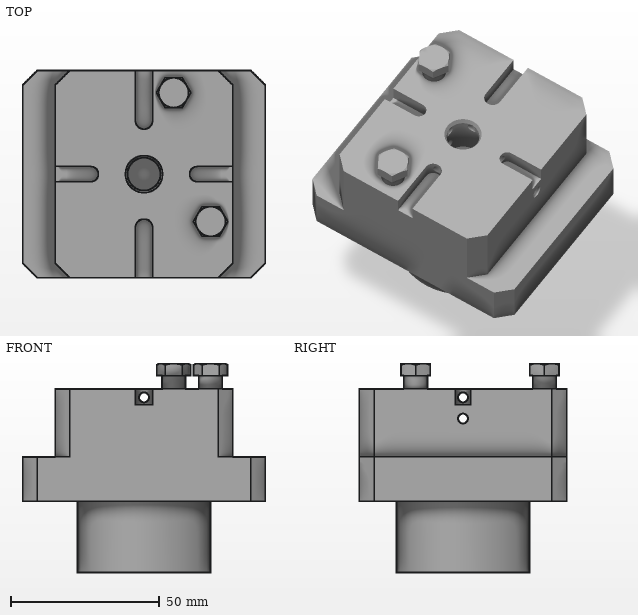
import cadquery as cq
import math

base_length = 82.0
block_length = 60.0
depth = 70.0
block_height = 23.0
base_height = 15.0
corner_chamfer = 5.0

spigot_diameter = 45.0
spigot_length = 24.0

bore_diameter = 11.1
bore_depth = 15.0
mouth_chamfer_width = 0.7
mouth_chamfer_depth = 1.3

slot_depth = 5.4
slot_width_x = 5.2
slot_width_y = 5.8
slot_end_x = 15.4
slot_end_y = 15.2

cross_diameter = 3.3
upper_hole_depth = 2.9
lower_hole_depth = 10.0
counterbore_diameter = 4.2
counterbore_length = 5.0

bolt_positions = [(10.0, 27.5), (22.5, -16.0)]
shank_diameter = 8.0
shank_length = 4.5
head_height = 4.0
head_across_flats = 10.0
head_sides = 6
head_chamfer_angle = 30


def chamfered_slab(length, height, top_z):
    """Rectangular slab with its four vertical corners chamfered."""
    slab = cq.Workplane("XY").workplane(offset=top_z - height).rect(length, depth).extrude(height)
    return slab.edges("|Z").chamfer(corner_chamfer)


def rounded_slot(angle, width, inner_end, outer_end):
    """Slot with a round inner end, running radially outward at the given angle."""
    radius = width / 2
    straight_start = inner_end + radius
    outline = (
        cq.Workplane("XY")
        .moveTo(outer_end, -radius)
        .lineTo(straight_start, -radius)
        .threePointArc((inner_end, 0), (straight_start, radius))
        .lineTo(outer_end, radius)
        .close()
    )
    return outline.extrude(-slot_depth).rotate((0, 0, 0), (0, 0, 1), angle)


def through_hole(plane, length, hole_depth):
    """Cross hole centred on the bore axis, below the top face by hole_depth."""
    cylinder = cq.Workplane(plane).circle(cross_diameter / 2).extrude(length / 2, both=True)
    return cylinder.translate((0, 0, -hole_depth))


def bolt(x, y):
    """Shank and hexagonal head whose top corners are turned to a cone."""
    corner_diameter = head_across_flats / math.cos(math.pi / head_sides)
    corner_height = (corner_diameter - head_across_flats) / 2 * math.tan(math.radians(head_chamfer_angle))
    top_z = shank_length + head_height
    shank = cq.Workplane("XY").circle(shank_diameter / 2).extrude(shank_length)
    head = (
        cq.Workplane("XY")
        .workplane(offset=shank_length)
        .polygon(head_sides, corner_diameter)
        .extrude(head_height)
    )
    turned_envelope = (
        cq.Workplane("XZ")
        .moveTo(0, shank_length)
        .lineTo(corner_diameter / 2, shank_length)
        .lineTo(corner_diameter / 2, top_z - corner_height)
        .lineTo(head_across_flats / 2, top_z)
        .lineTo(0, top_z)
        .close()
        .revolve(360, (0, 0, 0), (0, 1, 0))
    )
    return shank.union(head.intersect(turned_envelope)).translate((x, y, 0))


body = chamfered_slab(block_length, block_height, 0)
body = body.union(chamfered_slab(base_length, base_height, -block_height))
spigot = cq.Workplane("XY").circle(spigot_diameter / 2).extrude(-spigot_length)
body = body.union(spigot.translate((0, 0, -block_height - base_height)))

bore = cq.Workplane("XY").circle(bore_diameter / 2).extrude(-bore_depth)
mouth = cq.Solid.makeCone(bore_diameter / 2, bore_diameter / 2 + mouth_chamfer_width, mouth_chamfer_depth)
body = body.cut(bore).cut(cq.Workplane(mouth.translate(cq.Vector(0, 0, -mouth_chamfer_depth))))

for angle in (0, 180):
    body = body.cut(rounded_slot(angle, slot_width_x, slot_end_x, block_length / 2))
for angle in (90, 270):
    body = body.cut(rounded_slot(angle, slot_width_y, slot_end_y, depth / 2))

body = body.cut(through_hole("YZ", block_length, upper_hole_depth))
body = body.cut(through_hole("XZ", depth, upper_hole_depth))
body = body.cut(through_hole("YZ", block_length, lower_hole_depth))
counterbore = cq.Workplane("YZ").circle(counterbore_diameter / 2).extrude(counterbore_length)
body = body.cut(counterbore.translate((-block_length / 2, 0, -lower_hole_depth)))

for x, y in bolt_positions:
    body = body.union(bolt(x, y))

result = body